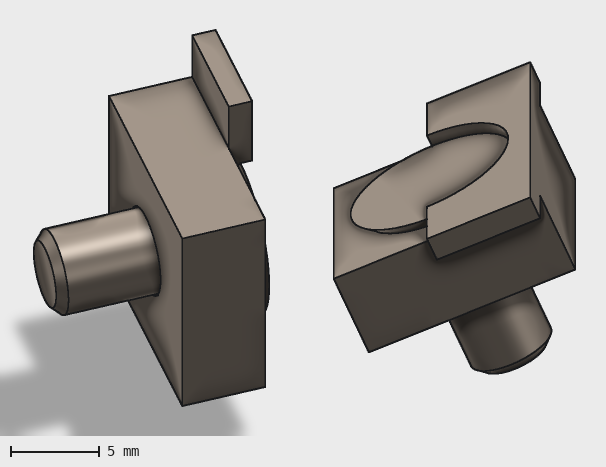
import cadquery as cq

block_width = 12.7
block_depth = 4.95
tongue_width = block_width / 2
tongue_height = 19.0
tongue_depth = 1.4
overall_block_depth = block_depth + tongue_depth

shank_radius = 2.5
head_radius = 5.0
head_height = head_radius - shank_radius
head_protrusion = 0.7
shank_protrusion = 6.0
tip_chamfer = 0.55

hole_radius = 2.6

head_top_y = block_depth + head_protrusion
head_base_y = head_top_y - head_height


def revolve_about_y(outline):
    """Revolve a closed (radius, y) outline a full turn about the Y axis."""
    return cq.Workplane("XY").polyline(outline).close().revolve(360, (0, 0, 0), (0, 1, 0))


def make_screw_hole():
    """Clearance hole and countersink, opened to the back face at head size."""
    countersink_base_y = head_base_y + hole_radius - shank_radius
    return revolve_about_y([
        (0, 0),
        (hole_radius, 0),
        (hole_radius, countersink_base_y),
        (head_radius, head_top_y),
        (head_radius, overall_block_depth),
        (0, overall_block_depth),
    ])


def make_clamp_block():
    body = cq.Workplane("XY").box(block_width, block_depth, block_width, centered=(True, False, True))
    tongue = (
        cq.Workplane("XY")
        .box(tongue_width, tongue_depth, tongue_height, centered=(False, False, True))
        .translate((-block_width / 2, block_depth, 0))
    )
    return body.union(tongue).cut(make_screw_hole())


def make_screw():
    """Plain shank with a chamfered tip and a flat-topped conical head."""
    tip_y = -shank_protrusion
    return revolve_about_y([
        (0, tip_y),
        (shank_radius - tip_chamfer, tip_y),
        (shank_radius, tip_y + tip_chamfer),
        (shank_radius, head_base_y),
        (head_radius, head_top_y),
        (0, head_top_y),
    ])


clamp_block = make_clamp_block()
screw = make_screw()

result = cq.Compound.makeCompound([*clamp_block.solids().vals(), screw.val()])